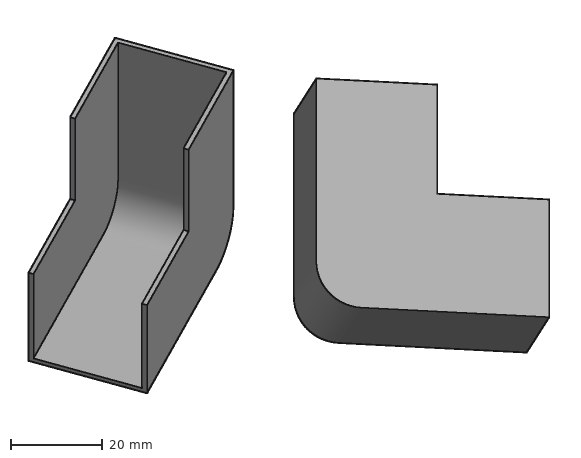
import cadquery as cq

width = 28.0
leg_length = 52.0
leg_depth = 27.0
wall = 1.2
corner_radius = 10.0


def elbow_prism(x_size, back, leg_end, edge, radius):
    """L-shaped prism centred on X, its rounded elbow at +Y and -Z.

    The profile's back lies at y = -back and its floor at z = back; the legs
    stop at y = -leg_end and z = leg_end, and their open edges at `edge`.
    """
    profile = (
        cq.Workplane("YZ")
        .moveTo(-leg_end, back)
        .lineTo(-back - radius, back)
        .radiusArc((-back, back + radius), -radius)
        .lineTo(-back, leg_end)
        .lineTo(-edge, leg_end)
        .lineTo(-edge, edge)
        .lineTo(-leg_end, edge)
        .close()
    )
    return profile.extrude(x_size / 2, both=True)


def make_channel():
    """Open-topped, open-ended channel bent through a right angle."""
    body = elbow_prism(width, 0, leg_length, leg_depth, corner_radius)
    cavity = elbow_prism(
        width - 2 * wall, wall, leg_length, leg_depth, corner_radius - wall
    )
    return body.cut(cavity)


result = make_channel().translate((0, leg_length / 2, -leg_length / 2))